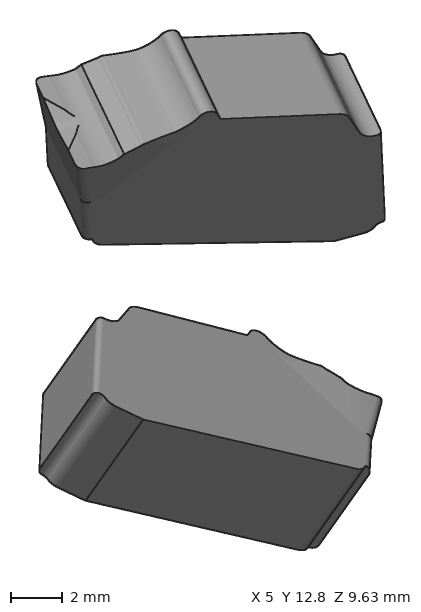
import cadquery as cq
import math

length = 12.8
height = 9.63
body_width = 4.44
tip_width = 5.0
half_body = body_width / 2
flare = (tip_width - body_width) / 2

tip_z = 8.64
kink_y, kink_z = 0.3, 6.21
toe_y, toe_z = 0.37, 4.0
heel_z = 0.37
heel_top_y, heel_top_z = 12.63, 5.55

flare_start_y, flare_start_z = 4.81, 8.83
flare_bend_y, flare_bend_z = 1.5, 6.5
flare_top_z = 8.59
blend_radius = 10.62

front_round = 0.32
heel_round = 0.22

dip_half_width = 1.32
dip_depth = 0.27
dip_length = 1.15
dip_rise = 0.14
dip_root_radius = 1.28


def make_outline():
    """Closed side outline in the YZ plane."""
    return (
        cq.Workplane("YZ")
        .moveTo(0, tip_z)
        .lineTo(kink_y, kink_z)
        .lineTo(toe_y, toe_z)
        .lineTo(0.69, toe_z)
        .threePointArc((0.85, 3.69), (1.11, 3.5))
        .lineTo(10.64, 0)
        .lineTo(11.84, 0)
        .threePointArc((12.1, 0.05), (12.29, 0.18))
        .threePointArc((12.43, 0.32), (12.6, heel_z))
        .lineTo(length, heel_z)
        .lineTo(heel_top_y, heel_top_z)
        .lineTo(12.42, heel_top_z)
        .threePointArc((12.02, 5.65), (11.72, 5.91))
        .lineTo(11.24, 7.1)
        .threePointArc((11.06, 7.3), (10.79, 7.42))
        .lineTo(6.09, 8.97)
        .threePointArc((5.98, 9.04), (5.93, 9.14))
        .lineTo(5.86, 9.32)
        .threePointArc((5.45, height), (5.08, 9.45))
        .threePointArc((4.62, 9.15), (4.12, 9.0))
        .lineTo(3.85, 8.99)
        .lineTo(2.89, 8.99)
        .threePointArc((2.75, 8.99), (2.62, 8.93))
        .lineTo(2.04, 8.78)
        .lineTo(1.93, 8.75)
        .lineTo(1.69, 8.59)
        .threePointArc((1.2, 8.49), (0.61, 8.55))
        .close()
    )


def make_flare():
    """Leaning wedge that widens the +X side toward the cutting edge."""
    margin = 1.28
    rise = flare_top_z - kink_z
    slope = (flare_start_z - flare_bend_z) / (flare_start_y - flare_bend_y)
    end_y = flare_start_y + margin
    base = (
        cq.Workplane("YZ", origin=(half_body, 0, 0))
        .moveTo(-margin, kink_z)
        .lineTo(0.69, kink_z)
        .threePointArc((1.13, 6.28), (flare_bend_y, flare_bend_z))
        .lineTo(end_y, flare_start_z + margin * slope)
        .lineTo(end_y, height + margin)
        .lineTo(-margin, height + margin)
        .close()
        .wire()
    )
    face = cq.Face.makeFromWires(base.val())
    lean = cq.Vector(flare, 0, rise)
    overrun = 1.2
    wedge = cq.Workplane(cq.Solid.extrudeLinear(face, lean * overrun))
    hollow = (
        cq.Workplane("XY")
        .center(half_body + blend_radius, flare_start_y)
        .circle(blend_radius)
        .extrude(height + margin)
    )
    behind = cq.Workplane("XY").box(margin, margin * 2, height * 3, centered=(True, False, True))
    behind = behind.translate((half_body, flare_start_y, 0))
    blank = make_outline().extrude(tip_width)
    return wedge.intersect(blank).cut(hollow).cut(behind)


def make_dip():
    """V groove, deepest at the cutting edge and running out behind it."""
    overlap = 0.25
    slope = dip_depth / dip_half_width
    root_drop = dip_root_radius * (math.hypot(1, slope) - 1)
    wide = dip_half_width + 2 * overlap
    tilt = math.degrees(math.atan2(dip_rise, dip_length))
    bottom = tip_z - dip_depth - root_drop
    groove = (
        cq.Workplane("XZ", origin=(0, -overlap, 0))
        .polyline([(0, 0), (wide, slope * wide), (-wide, slope * wide)])
        .close()
        .extrude(-dip_length - overlap)
    )
    groove = groove.edges("|Y and <Z").fillet(dip_root_radius)
    return groove.rotate((0, 0, 0), (1, 0, 0), tilt).translate((0, 0, bottom))


side_flare = make_flare()
body = make_outline().extrude(half_body, both=True)
body = body.union(side_flare).union(side_flare.mirror("YZ"))

reach = tip_width
upper_front = cq.selectors.BoxSelector((-reach, -0.13, kink_z), (reach, kink_y, tip_z - 0.13))
lower_front = cq.selectors.BoxSelector((-reach, kink_y, toe_z + 0.13), (reach, toe_y, kink_z - 0.13))
heel = cq.selectors.BoxSelector((-reach, heel_top_y, heel_z + 0.13), (reach, length, heel_top_z - 0.13))
body = body.edges(upper_front + lower_front).fillet(front_round)
body = body.edges(heel).fillet(heel_round)

result = body.cut(make_dip())